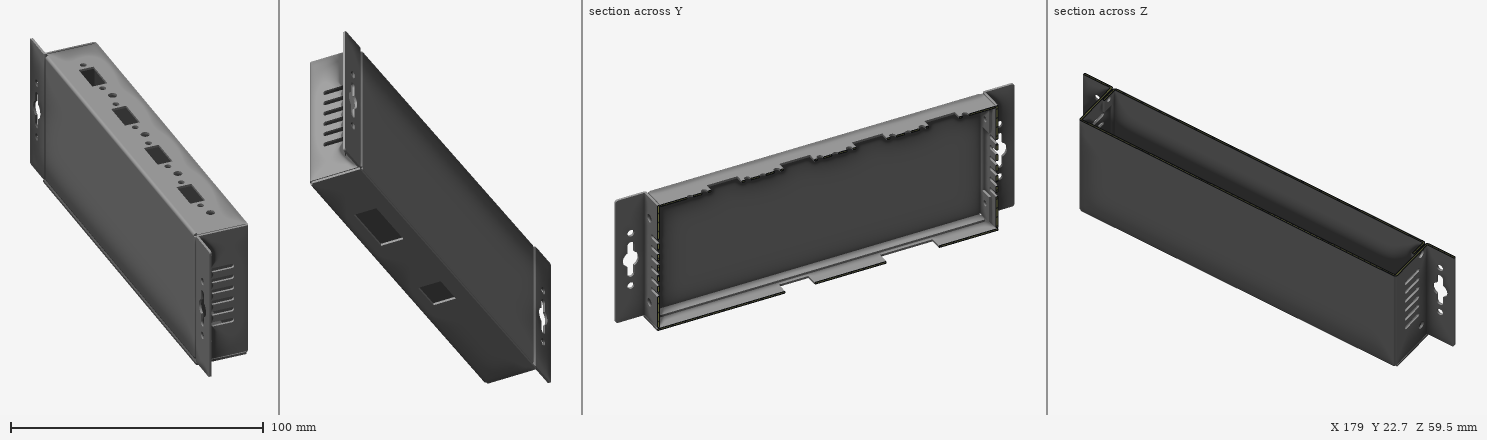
import cadquery as cq
import math

overall_width = 179.0
depth = 22.7
height = 59.5

sheet = 1.0
chassis_bend = 1.0
cover_bend = 1.3
cover_gap = 0.4

case_width = 153.0
case_half = case_width / 2
wall_half = case_half - sheet
cover_half = wall_half - cover_gap
wall_bottom = sheet + cover_gap
wall_height = height - wall_bottom
mid_depth = depth / 2
mid_height = height / 2

flange_hole_inset = 6.8
flange_hole_x = overall_width / 2 - flange_hole_inset
flange_corner_radius = 1.0
flange_hole_diameter = 3.0
flange_hole_spacing = 24.9
keyhole_diameter = 7.2
keyhole_slot_length = 16.5

vent_count = 6
vent_pitch = 5.0
vent_length = 10.0
vent_width = 2.0
screw_spacing = 40.0
screw_y = 5.0
screw_clearance_diameter = 3.5
screw_thread_diameter = 2.5

bottom_lip_depth = 5.4
side_lip_depth = 8.2
vent_notch_start = 2.7
vent_notch_height = 30.5

port_count = 4
port_pitch = 32.5
first_port_x = -52.3
port_y = 11.1
port_width = 13.8
port_height = 6.5
jack_screw_spacing = 19.3
jack_screw_diameter = 2.7
indicator_diameter = 3.5
indicator_offset_x = port_pitch / 2
indicator_offset_y = 1.5

bottom_openings = [(-50.0, -26.3), (5.9, 19.2)]
bottom_opening_depth = 10.0


def folded_sheet(corner, direction_a, direction_b, leg_a, leg_b, length, bend_radius):
    """L-shaped sheet, rounded outside the bend and sharp inside.

    The corner is where the outer faces would meet, at mid length.
    """
    axis = cq.Vector(*direction_a).cross(cq.Vector(*direction_b))
    bend_mid = bend_radius * (1 - math.sqrt(0.5))
    return (
        cq.Workplane(cq.Plane(corner, direction_a, axis))
        .moveTo(leg_a, 0)
        .lineTo(bend_radius, 0)
        .threePointArc((bend_mid, bend_mid), (0, bend_radius))
        .lineTo(0, leg_b)
        .lineTo(sheet, leg_b)
        .lineTo(sheet, sheet)
        .lineTo(leg_a, sheet)
        .close()
        .extrude(length / 2, both=True)
    )


def block(x_range, y_range, z_range):
    """Rectangular block given by its limits along each axis."""
    limits = (x_range, y_range, z_range)
    size = [high - low for low, high in limits]
    start = [low for low, high in limits]
    return cq.Workplane().box(*size, centered=False).translate(tuple(start))


def side_screw_holes(diameter):
    """Cylinders along X for the cover screws of both sides."""
    return (
        cq.Workplane("YZ")
        .center(screw_y, mid_height)
        .rarray(1.8, screw_spacing, 1, 2)
        .circle(diameter / 2)
        .extrude(case_half, both=True)
    )


def side_vents():
    """Row of ventilation slots through both side walls."""
    return (
        cq.Workplane("YZ")
        .center(mid_depth, mid_height)
        .rarray(1.8, vent_pitch, 1, vent_count)
        .slot2D(vent_length, vent_width)
        .extrude(case_half, both=True)
    )


def flange_holes(side):
    """Two round holes and a double-ended keyhole through one flange."""
    flange = cq.Workplane("XZ", origin=(side * flange_hole_x, 0, mid_height))
    round_holes = (
        flange.rarray(1.8, flange_hole_spacing, 1, 2).circle(flange_hole_diameter / 2).extrude(-sheet)
    )
    keyhole_slot = flange.slot2D(keyhole_slot_length, flange_hole_diameter, 90).extrude(-sheet)
    keyhole_centre = flange.circle(keyhole_diameter / 2).extrude(-sheet)
    return round_holes.union(keyhole_slot).union(keyhole_centre)


def make_chassis():
    """Back, bottom and side walls with a mounting flange on each side."""
    wall_mid_z = wall_bottom + wall_height / 2

    body = folded_sheet(
        (0, depth, 0), (0, -1, 0), (0, 0, 1), depth, mid_height,
        2 * (case_half - chassis_bend), chassis_bend,
    )
    body = body.union(block((-case_half, case_half), (0, depth - chassis_bend), (0, sheet)))

    for side in (-1, 1):
        back_and_side = folded_sheet(
            (side * case_half, depth, wall_mid_z),
            (-side, 0, 0), (0, -1, 0), case_half, mid_depth, wall_height, chassis_bend,
        )
        side_and_flange = folded_sheet(
            (side * wall_half, 0, wall_mid_z),
            (side, 0, 0), (0, 1, 0), overall_width / 2 - wall_half, mid_depth,
            wall_height, chassis_bend,
        )
        flange_end = ">X" if side > 0 else "<X"
        side_and_flange = side_and_flange.faces(flange_end).edges("|Y").fillet(flange_corner_radius)
        body = body.union(back_and_side).union(side_and_flange).cut(flange_holes(side))

    for left, right in bottom_openings:
        opening_front = mid_depth - bottom_opening_depth / 2
        opening_back = mid_depth + bottom_opening_depth / 2
        body = body.cut(block((left, right), (opening_front, opening_back), (0, sheet)))

    return body.cut(side_vents()).cut(side_screw_holes(screw_clearance_diameter))


def port_cutouts():
    """Connector windows, jack screw holes and indicator holes through the top wall."""
    cutouts = cq.Workplane("XY")
    for index in range(port_count):
        port_x = first_port_x + index * port_pitch
        port = cq.Workplane("XY", origin=(port_x, port_y, height))
        window = port.rect(port_width, port_height).extrude(-sheet)
        jack_screws = (
            port.rarray(jack_screw_spacing, 1.8, 2, 1).circle(jack_screw_diameter / 2).extrude(-sheet)
        )
        indicator = (
            port.center(indicator_offset_x, indicator_offset_y)
            .circle(indicator_diameter / 2)
            .extrude(-sheet)
        )
        cutouts = cutouts.add(window).add(jack_screws).add(indicator)
    return cutouts.combine()


def make_cover():
    """Front plate with the top wall and three lips folded behind it."""
    cover_bottom = sheet + cover_gap
    cover_depth = depth - sheet
    fold_width = 2 * (cover_half - cover_bend)
    lip_bottom = cover_bottom + cover_bend
    lip_top = height - cover_bend
    lip_mid_z = (lip_bottom + lip_top) / 2

    body = folded_sheet(
        (0, 0, height), (0, 1, 0), (0, 0, -1), cover_depth, mid_height, fold_width, cover_bend
    )
    top_wall = block((-cover_half, cover_half), (cover_bend, cover_depth), (height - sheet, height))
    body = body.union(top_wall)
    body = body.union(
        folded_sheet(
            (0, 0, cover_bottom), (0, 1, 0), (0, 0, 1), bottom_lip_depth, mid_height,
            fold_width, cover_bend,
        )
    )

    for side in (-1, 1):
        side_lip = folded_sheet(
            (side * cover_half, 0, lip_mid_z),
            (-side, 0, 0), (0, 1, 0), cover_half, side_lip_depth,
            lip_top - lip_bottom, cover_bend,
        )
        body = body.union(side_lip)

    notch_bottom = mid_height - vent_notch_height / 2
    notch_top = mid_height + vent_notch_height / 2
    body = body.cut(
        block((-cover_half, cover_half), (vent_notch_start, side_lip_depth), (notch_bottom, notch_top))
    )

    return body.cut(port_cutouts()).cut(side_screw_holes(screw_thread_diameter))


chassis = make_chassis()
cover = make_cover()

result = cq.Compound.makeCompound([chassis.solids().val(), cover.solids().val()])